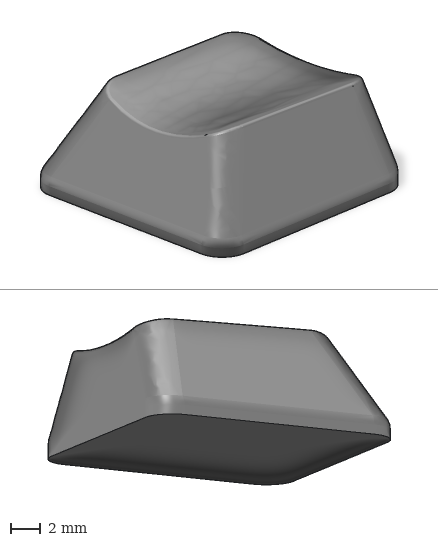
import cadquery as cq
import math

side_length = 18.16
half_side = side_length / 2
skirt_height = 0.65
bend_top_height = 1.3
corner_radius = 2.0
bend_corner_radius = 1.85
top_front_corner_radius = 1.85
top_back_corner_radius = 2.15

side_lean = 25.5
front_lean = 28.0
back_lean = 4.2
blank_height = 8.5

dish_front_y = -6.3
dish_back_y = 8.6
dish_front_floor = 6.1
dish_back_floor = 6.38
dish_front_radius = 13.2
dish_back_radius = 24.5
dish_half_width = 7.5
dish_overrun = 2.0
lid_clearance = 1.0
lid_height = blank_height + lid_clearance
rim_radius = 0.3


def wall_inset(lean, height):
    """Distance a wall has moved inward from the skirt: along the bend, then straight."""
    angle = math.radians(lean)
    bend_radius = (bend_top_height - skirt_height) / math.sin(angle)
    bend_rise = min(height, bend_top_height) - skirt_height
    bend_inset = bend_radius - math.sqrt(bend_radius**2 - bend_rise**2)
    return bend_inset + max(height - bend_top_height, 0) * math.tan(angle)


def wall_section(height, front_radius, back_radius):
    """Outline of the walls at one height: a rectangle with rounded corners."""
    half_width = half_side - wall_inset(side_lean, height)
    front_y = -half_side + wall_inset(front_lean, height)
    back_y = half_side - wall_inset(back_lean, height)
    outline = cq.Sketch().rect(2 * half_width, back_y - front_y)
    outline = outline.vertices("<Y").fillet(front_radius).reset()
    outline = outline.vertices(">Y").fillet(back_radius).reset()
    return outline.moved(cq.Location(cq.Vector(0, (front_y + back_y) / 2, height)))


def make_blank():
    """Straight skirt, a bend above it, and walls that lean in by different amounts."""
    middle_radius = (corner_radius + bend_corner_radius) / 2
    middle_height = (skirt_height + bend_top_height) / 2
    skirt_top = wall_section(skirt_height, corner_radius, corner_radius)
    bend_middle = wall_section(middle_height, middle_radius, middle_radius)
    bend_top = wall_section(bend_top_height, bend_corner_radius, bend_corner_radius)
    blank_top = wall_section(blank_height, top_front_corner_radius, top_back_corner_radius)
    skirt = cq.Workplane("XY").placeSketch(skirt_top).extrude(-skirt_height)
    bend = cq.Workplane("XY").placeSketch(skirt_top, bend_middle, bend_top).loft()
    walls = cq.Workplane("XY").placeSketch(bend_top, blank_top).loft(ruled=True)
    return skirt.union(bend).union(walls)


def along_dish(front, back, y):
    """Value at Y of a dish dimension that changes evenly from front to back."""
    return front + (back - front) * (y - dish_front_y) / (dish_back_y - dish_front_y)


def dish_section(y):
    """Closed outline of the dish cutter at one Y: an arc below and a flat lid."""
    floor = along_dish(dish_front_floor, dish_back_floor, y)
    radius = along_dish(dish_front_radius, dish_back_radius, y)
    arc_end = floor + radius - math.sqrt(radius**2 - dish_half_width**2)
    outline = (
        cq.Workplane("XZ", origin=(0, y, 0))
        .moveTo(-dish_half_width, arc_end)
        .threePointArc((0, floor), (dish_half_width, arc_end))
        .lineTo(dish_half_width, lid_height)
        .lineTo(-dish_half_width, lid_height)
        .close()
    )
    return outline.val()


def make_dish_cutter():
    """Trough running along Y, longer than the top at both ends."""
    ends = (dish_front_y - dish_overrun, dish_back_y + dish_overrun)
    return cq.Workplane(cq.Solid.makeLoft([dish_section(y) for y in ends], True))


def round_rim(body):
    """Round the edge between the dish and the walls."""
    dish_face = body.faces(cq.selectors.NearestToPointSelector((0, 0, dish_front_floor)))
    return dish_face.edges().fillet(rim_radius)


result = round_rim(make_blank().cut(make_dish_cutter()))